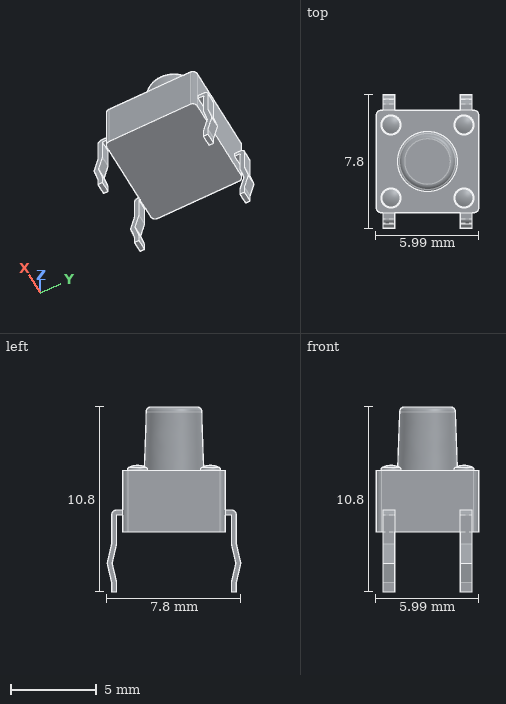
import cadquery as cq

body_side = 5.99
body_height = 3.6
body_corner_radius = 0.3

button_height = 3.71
button_base_radius = 1.75
button_top_radius = 1.62
button_edge_radius = 0.3

rivet_offset = 2.13
rivet_radius = 0.58
rivet_rim_height = 0.04
rivet_dome_radius = 0.53
rivet_dome_start = 0.16
rivet_height = 0.3

leg_offset = 2.25
leg_width = 0.7
leg_thickness = 0.3
leg_top = 1.3
leg_outer_y = 3.64
kink_outer_y = 3.9
kink_start = -0.69
kink_peak = -1.82
kink_end = -2.93
leg_bottom = body_height + button_height - 10.81


def make_body():
    block = cq.Workplane("XY").box(body_side, body_side, body_height, centered=(True, True, False))
    return block.edges("|Z").fillet(body_corner_radius)


def make_button():
    profile = (
        cq.Workplane("XZ", origin=(0, 0, body_height))
        .lineTo(button_base_radius, 0)
        .lineTo(button_top_radius, button_height)
        .lineTo(0, button_height)
        .close()
    )
    button = profile.revolve(360, (0, 0, 0), (0, 1, 0))
    return button.faces(">Z").edges().fillet(button_edge_radius)


def make_rivet(x, y):
    """Short rim, rounded inward to a shallow spherical dome."""
    dome_rise = rivet_height - rivet_dome_start
    sphere_radius = (rivet_dome_radius**2 + dome_rise**2) / (2 * dome_rise)
    middle_x = rivet_dome_radius / 2
    middle_z = rivet_height - sphere_radius + (sphere_radius**2 - middle_x**2) ** 0.5
    profile = (
        cq.Workplane("XZ")
        .lineTo(rivet_radius, 0)
        .lineTo(rivet_radius, rivet_rim_height)
        .tangentArcPoint((rivet_dome_radius, rivet_dome_start), relative=False)
        .threePointArc((middle_x, middle_z), (0, rivet_height))
        .close()
    )
    return profile.revolve(360, (0, 0, 0), (0, 1, 0)).translate((x, y, body_height))


def make_leg(x, side):
    """Leg leaving the housing wall, bent down and kinked outward; side is +1 or -1 along Y."""
    wall_y = body_side / 2
    leg_inner_y = leg_outer_y - leg_thickness
    kink_inner_y = kink_outer_y - leg_thickness
    outline = [
        (wall_y, leg_top),
        (leg_outer_y, leg_top),
        (leg_outer_y, kink_start),
        (kink_outer_y, kink_peak),
        (leg_outer_y, kink_end),
        (leg_outer_y, leg_bottom),
        (leg_inner_y, leg_bottom),
        (leg_inner_y, kink_end),
        (kink_inner_y, kink_peak),
        (leg_inner_y, kink_start),
        (leg_inner_y, leg_top - leg_thickness),
        (wall_y, leg_top - leg_thickness),
    ]
    leg = cq.Workplane("YZ").polyline(outline).close().extrude(leg_width / 2, both=True)
    outer_bend = cq.selectors.NearestToPointSelector((0, leg_outer_y, leg_top))
    leg = leg.edges("|X").edges(outer_bend).fillet(leg_thickness)
    if side < 0:
        leg = leg.mirror("XZ")
    return leg.translate((x, 0, 0))


result = make_body().union(make_button())
for x_side in (-1, 1):
    for y_side in (-1, 1):
        result = result.union(make_rivet(x_side * rivet_offset, y_side * rivet_offset))
        result = result.union(make_leg(x_side * leg_offset, y_side))